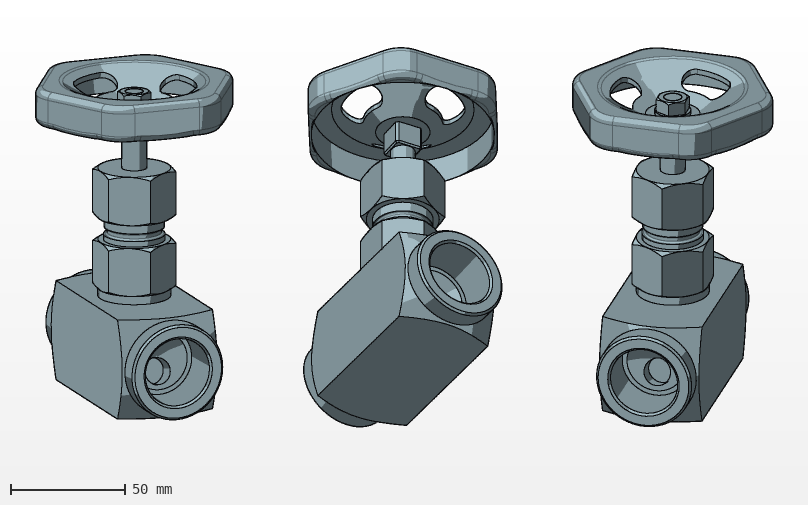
import cadquery as cq
import math

TAN30 = math.tan(math.radians(30))
COS30 = math.cos(math.radians(30))

body_side = 45.0
body_half_length = 41.0
overall_length = 100.0
port_half_length = overall_length / 2
port_dia = 43.0
port_chamfer = 1.0
axis_z = body_side / 2

bore_dia = 30.3
bore_mouth_dia = 32.3
bore_depth = 21.0
drill_tip_dia = 26.0
drill_tip_angle = 128
drill_tip_length = drill_tip_dia / 2 / math.tan(math.radians(drill_tip_angle / 2))
passage_dia = 12.0
passage_tilt = 15
passage_axis_z = 16.2
passage_beyond_tip = 4.0

neck_top = 48.7
lower_nut_top = 70.5
collar_top = 72.9
groove_top = 76.1
spigot_top = 80.7
upper_nut_top = 102.8
neck_dia = 32.0
collar_dia = 27.0
groove_dia = 23.8
groove_fillet = 0.9
spigot_dia = 26.5
nut_flats = 32.0
nut_face_dia = 31.9

stem_dia = 11.0
square_bottom = 116.5
square_flats = 13.0
square_corner_chamfer = 1.1
square_end_chamfer = 0.7

wheel_top = 142.3
wheel_height = 16.4
wheel_bottom = wheel_top - wheel_height
wheel_flats = 82.0
wheel_corner_radius = 14.8
wheel_edge_radius = 3.0
wheel_turn = -2
dish_dia = 64.0
dish_depth = 12.7
hub_dia = 23.8
hub_z = wheel_top - dish_depth
web_thickness = 2.4
rim_roof = 3.0
hollow_dia = 80.0
slot_mid_radius = 22.5
slot_width = 10.0
slot_half_angle = 20.5
slot_angles = (91, 211, 331)

washer_dia = 15.8
washer_height = 1.7
wheel_nut_top = 137.5
wheel_nut_flats = 13.0
wheel_nut_face_dia = 12.5
stem_end_dia = 8.0
stem_end_recess = 0.1


def disc(dia, bottom, top):
    """Vertical cylinder on the stem axis."""
    return cq.Workplane("XY").workplane(offset=bottom).circle(dia / 2).extrude(top - bottom)


def turned(points, axis_height=None):
    """Solid of revolution: about Z, or about the X direction at a given height."""
    if axis_height is None:
        return cq.Workplane("XZ").polyline(points).close().revolve(360, (0, 0), (0, 1))
    raised = [(x, axis_height + r) for x, r in points]
    profile = cq.Workplane("XZ").polyline(raised).close()
    return profile.revolve(360, (0, axis_height), (1, axis_height))


def hexagon(flats, bottom, top):
    """Hexagonal prism with two corners on the X axis."""
    return cq.Workplane("XY").workplane(offset=bottom).polygon(6, flats / COS30).extrude(top - bottom)


def hex_nut(flats, face_dia, bottom, top, both_ends=True):
    """Hexagonal nut with its corners bevelled at 30 degrees."""
    outer = flats
    face = face_dia / 2
    drop = (outer - face) * TAN30
    lower_end = [(face, bottom), (outer, bottom + drop)] if both_ends else [(outer, bottom)]
    envelope = turned([(0, bottom), *lower_end, (outer, top - drop), (face, top), (0, top)])
    return hexagon(flats, bottom, top).intersect(envelope)


def make_body():
    block = cq.Workplane("XY").box(2 * body_half_length, body_side, body_side, centered=(True, True, False))
    port = port_dia / 2
    outer = body_side
    cone_x = body_half_length - (outer - port) * TAN30
    envelope = turned(
        [
            (-body_half_length, 0),
            (-body_half_length, port),
            (-cone_x, outer),
            (cone_x, outer),
            (body_half_length, port),
            (body_half_length, 0),
        ],
        axis_z,
    )
    ports = (
        cq.Workplane("YZ", origin=(-port_half_length, 0, axis_z))
        .circle(port)
        .extrude(2 * port_half_length)
        .faces("<X or >X")
        .chamfer(port_chamfer)
    )
    return block.intersect(envelope).union(ports)


def make_port_cut():
    """Cutter for the port on the -X side: bore, drill tip and slanted passage."""
    mouth_x = -port_half_length
    floor_x = mouth_x + bore_depth
    tip_x = floor_x + drill_tip_length
    mouth_chamfer = (bore_mouth_dia - bore_dia) / 2
    bore = turned(
        [
            (mouth_x, 0),
            (mouth_x, bore_mouth_dia / 2),
            (mouth_x + mouth_chamfer, bore_dia / 2),
            (floor_x, bore_dia / 2),
            (floor_x, drill_tip_dia / 2),
            (tip_x, 0),
        ],
        axis_z,
    )
    end_x = tip_x + passage_beyond_tip
    tilt = math.radians(passage_tilt)
    direction = cq.Vector(math.cos(tilt), 0, -math.sin(tilt))
    start = cq.Vector(tip_x, 0, passage_axis_z) - direction * drill_tip_length
    rod = cq.Workplane(cq.Solid.makeCylinder(passage_dia / 2, bore_depth, start, direction))
    passage_zone = cq.Workplane("XY").box(
        end_x - mouth_x, body_side, body_side, centered=(False, True, False)
    ).translate((mouth_x, 0, 0))
    return bore.union(rod.intersect(passage_zone))


def make_groove():
    """Waist between collar and spigot, flaring into both with a small fillet."""
    waist = groove_dia / 2
    flare = waist + groove_fillet
    sag = groove_fillet * (1 - math.sqrt(0.5))
    return (
        cq.Workplane("XZ")
        .moveTo(0, collar_top)
        .lineTo(flare, collar_top)
        .threePointArc((waist + sag, collar_top + sag), (waist, collar_top + groove_fillet))
        .lineTo(waist, groove_top - groove_fillet)
        .threePointArc((waist + sag, groove_top - sag), (flare, groove_top))
        .lineTo(0, groove_top)
        .close()
        .revolve(360, (0, 0), (0, 1))
    )


def make_bonnet():
    neck = disc(neck_dia, body_side, neck_top)
    lower_nut = hex_nut(nut_flats, nut_face_dia, neck_top, lower_nut_top)
    collar = disc(collar_dia, lower_nut_top, collar_top)
    spigot = disc(spigot_dia, groove_top, spigot_top)
    upper_nut = hex_nut(nut_flats, nut_face_dia, spigot_top, upper_nut_top)
    return neck.union(lower_nut).union(collar).union(make_groove()).union(spigot).union(upper_nut)


def make_stem():
    rod = disc(stem_dia, upper_nut_top, square_bottom)
    square = (
        cq.Workplane("XY")
        .workplane(offset=square_bottom)
        .rect(square_flats, square_flats)
        .extrude(hub_z - square_bottom)
        .edges("|Z")
        .chamfer(square_corner_chamfer)
        .faces("<Z")
        .chamfer(square_end_chamfer)
        .rotate((0, 0, 0), (0, 0, 1), wheel_turn)
    )
    return rod.union(square)


def make_rim():
    """Rounded hexagonal rim; below the flats the edge rounding runs out on the hollow's edge."""
    rim = (
        hexagon(wheel_flats, wheel_bottom, wheel_top)
        .edges("|Z")
        .fillet(wheel_corner_radius)
        .faces("<Z or >Z")
        .edges()
        .fillet(wheel_edge_radius)
    )
    flat = wheel_flats / 2
    inner = flat - wheel_edge_radius
    overlap = hollow_dia / 2 - inner
    half_width = math.sqrt((hollow_dia / 2) ** 2 - inner**2)
    dip = wheel_edge_radius - math.sqrt(wheel_edge_radius**2 - overlap**2)
    sweep_radius = (half_width**2 + dip**2) / (2 * dip)
    centre_z = wheel_bottom - dip + sweep_radius
    round_start = sweep_radius - wheel_edge_radius
    diagonal = wheel_edge_radius * math.sqrt(0.5)
    shoe = (
        cq.Workplane("XZ")
        .moveTo(inner, centre_z - round_start + wheel_edge_radius)
        .lineTo(inner, centre_z - sweep_radius)
        .threePointArc((inner + diagonal, centre_z - round_start - diagonal), (flat, centre_z - round_start))
        .lineTo(flat, centre_z - round_start + wheel_edge_radius)
        .close()
        .revolve(360, (0, centre_z), (1, centre_z))
    )
    window = cq.Workplane("XY").box(
        wheel_flats, 2 * half_width, 2 * wheel_edge_radius, centered=(True, True, False)
    ).translate((0, 0, wheel_bottom))
    shoe = shoe.intersect(window)
    for side in range(6):
        rim = rim.union(shoe.rotate((0, 0, 0), (0, 0, 1), 30 + 60 * side))
    return rim.rotate((0, 0, 0), (0, 0, 1), 30 + wheel_turn)


def make_dish():
    """Cutter for the conical dish, its mouth rounded over."""
    slope = math.atan2(dish_depth, (dish_dia - hub_dia) / 2)
    tangent = wheel_edge_radius * math.tan(slope / 2)
    mouth = dish_dia / 2
    middle_angle = slope / 2
    round_r = mouth + tangent
    round_z = wheel_top - wheel_edge_radius
    return (
        cq.Workplane("XZ")
        .moveTo(0, hub_z)
        .lineTo(hub_dia / 2, hub_z)
        .lineTo(mouth - tangent * math.cos(slope), wheel_top - tangent * math.sin(slope))
        .threePointArc(
            (
                round_r - wheel_edge_radius * math.sin(middle_angle),
                round_z + wheel_edge_radius * math.cos(middle_angle),
            ),
            (round_r, wheel_top),
        )
        .lineTo(0, wheel_top)
        .close()
        .revolve(360, (0, 0), (0, 1))
    )


def make_hollow():
    """Cutter for the underside, following the dish at the web thickness."""
    web_slope = dish_depth / ((dish_dia - hub_dia) / 2)
    roof_z = wheel_top - rim_roof
    hub_underside = hub_z - web_thickness
    roof_r = hub_dia / 2 + (roof_z - hub_underside) / web_slope
    return turned(
        [
            (0, wheel_bottom),
            (0, hub_underside),
            (hub_dia / 2, hub_underside),
            (roof_r, roof_z),
            (hollow_dia / 2, roof_z),
            (hollow_dia / 2, wheel_bottom),
        ]
    )


def make_slot(angle):
    """Cutter for one curved slot through the web."""

    def polar(radius, degrees):
        turn = math.radians(angle + degrees)
        return (radius * math.cos(turn), radius * math.sin(turn))

    inner = slot_mid_radius - slot_width / 2
    outer = slot_mid_radius + slot_width / 2
    cap_angle = math.degrees(slot_width / 2 / slot_mid_radius)
    end = slot_half_angle
    return (
        cq.Workplane("XY")
        .workplane(offset=wheel_bottom)
        .moveTo(*polar(inner, -end))
        .threePointArc(polar(inner, 0), polar(inner, end))
        .threePointArc(polar(slot_mid_radius, end + cap_angle), polar(outer, end))
        .threePointArc(polar(outer, 0), polar(outer, -end))
        .threePointArc(polar(slot_mid_radius, -end - cap_angle), polar(inner, -end))
        .close()
        .extrude(wheel_height)
    )


def make_wheel():
    wheel = make_rim().cut(make_hollow()).cut(make_dish())
    for angle in slot_angles:
        wheel = wheel.cut(make_slot(angle))
    return wheel


def make_wheel_nut():
    washer_top = hub_z + washer_height
    washer = disc(washer_dia, hub_z, washer_top)
    nut = hex_nut(wheel_nut_flats, wheel_nut_face_dia, washer_top, wheel_nut_top, both_ends=False)
    stem_end = disc(stem_end_dia, wheel_nut_top - stem_end_recess, wheel_nut_top)
    return washer.union(nut).cut(stem_end)


near_port = make_port_cut()
far_port = near_port.mirror("YZ")
body = make_body().cut(near_port).cut(far_port)
result = body.union(make_bonnet()).union(make_stem()).union(make_wheel()).union(make_wheel_nut())